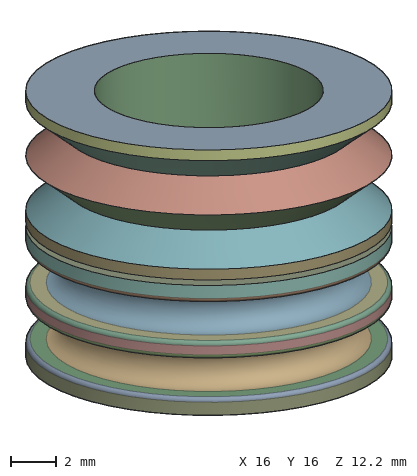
import cadquery as cq

OUTER_RADIUS = 8.0
BORE_RADIUS = 10.0 / 2
RING_HEIGHT = 6.0
RING_GAP = 0.25
GROOVE_COUNT = 2

V_DEPTH = 1.6
V_END_LAND = 0.5
V_FLANK_HEIGHT = (RING_HEIGHT - 2 * V_END_LAND) / (2 * GROOVE_COUNT)

LAND_HEIGHT = 0.8
U_WIDTH = (RING_HEIGHT - (GROOVE_COUNT + 1) * LAND_HEIGHT) / GROOVE_COUNT
U_RADIUS = U_WIDTH / 2
U_DEPTH = U_WIDTH
RIM_FILLET = 0.2


def revolve_profile(profile):
    """Turn a closed radius-height profile about the Z axis."""
    return profile.close().revolve(360, (0, 0), (0, 1))


def make_v_ring(base_z):
    """Ring whose adjoining V grooves meet at a sharp ridge."""
    profile = (
        cq.Workplane("XZ")
        .moveTo(BORE_RADIUS, 0)
        .lineTo(OUTER_RADIUS, 0)
        .lineTo(OUTER_RADIUS, V_END_LAND)
    )
    for _ in range(GROOVE_COUNT):
        profile = profile.line(-V_DEPTH, V_FLANK_HEIGHT).line(V_DEPTH, V_FLANK_HEIGHT)
    profile = profile.lineTo(OUTER_RADIUS, RING_HEIGHT).lineTo(BORE_RADIUS, RING_HEIGHT)
    return revolve_profile(profile).translate((0, 0, base_z))


def add_u_groove(profile, bottom_z):
    """Draw one U groove upwards, with rounded rims and a semicircular floor."""
    top_z = bottom_z + U_WIDTH
    rim_radius = OUTER_RADIUS - RIM_FILLET
    arc_radius = OUTER_RADIUS - U_DEPTH + U_RADIUS
    return (
        profile.lineTo(OUTER_RADIUS, bottom_z - RIM_FILLET)
        .tangentArcPoint((rim_radius, bottom_z), relative=False)
        .lineTo(arc_radius, bottom_z)
        .threePointArc((OUTER_RADIUS - U_DEPTH, bottom_z + U_RADIUS), (arc_radius, top_z))
        .lineTo(rim_radius, top_z)
        .tangentArcPoint((OUTER_RADIUS, top_z + RIM_FILLET), relative=False)
    )


def make_u_ring():
    """Ring with evenly spaced round-bottomed grooves."""
    profile = cq.Workplane("XZ").moveTo(BORE_RADIUS, 0).lineTo(OUTER_RADIUS, 0)
    for index in range(GROOVE_COUNT):
        bottom_z = LAND_HEIGHT + index * (U_WIDTH + LAND_HEIGHT)
        profile = add_u_groove(profile, bottom_z)
    profile = profile.lineTo(OUTER_RADIUS, RING_HEIGHT).lineTo(BORE_RADIUS, RING_HEIGHT)
    return revolve_profile(profile)


u_ring = make_u_ring()
v_ring = make_v_ring(RING_HEIGHT + RING_GAP)

result = cq.Compound.makeCompound([u_ring.val(), v_ring.val()])